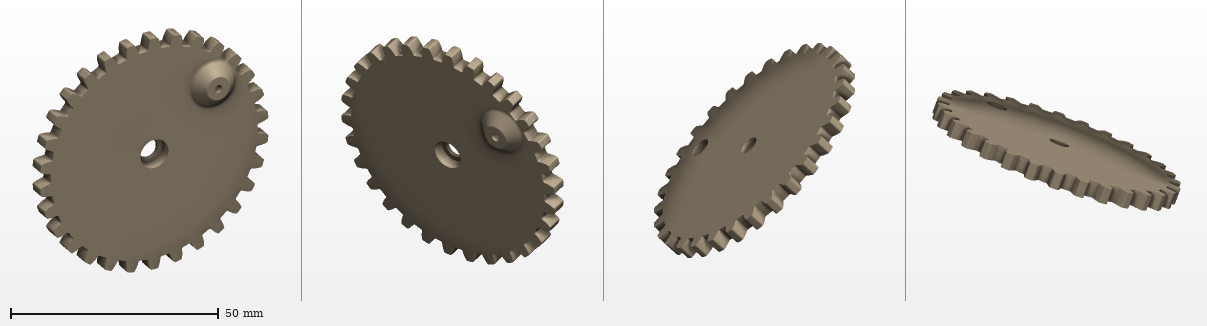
import cadquery as cq
import math

tooth_count = 30
tip_radius = 31.25
root_radius = 28.25
plate_thickness = 4.0
tip_width = 2.0
tooth_middle_width = 3.0
tooth_base_width = 3.3
tooth_corner_round = 0.5
center_bore_diameter = 5.0
center_lip_thickness = 1.0
center_recess_diameter = 7.6

boss_y = 15.95
boss_z = 15.1
boss_height = 3.0
boss_base_radius = 6.1
boss_top_radius = boss_base_radius - boss_height
boss_base_fillet = 1.0
boss_top_round = 0.5
boss_hole_diameter = 2.1
counterbore_diameter = 5.1
counterbore_depth = 1.9


def polar(radius, angle):
    """(Y, Z) point at an angle measured from +Z towards +Y."""
    return (radius * math.sin(angle), radius * math.cos(angle))


def half_angle(width, radius):
    """Half of the angle that a tooth of this width covers at this radius."""
    return math.asin(width / 2 / radius)


def toothed_plate():
    """Teeth with bulging flanks around a round body, one tooth centered on +Z."""
    pitch = 2 * math.pi / tooth_count
    middle_radius = (tip_radius + root_radius) / 2
    tip_angle = half_angle(tip_width, tip_radius)
    middle_angle = half_angle(tooth_middle_width, middle_radius)
    base_angle = half_angle(tooth_base_width, root_radius)

    outline = cq.Workplane("YZ").moveTo(*polar(root_radius, -base_angle))
    for tooth in range(tooth_count):
        center = tooth * pitch
        rising_flank_middle = polar(middle_radius, center - middle_angle)
        falling_flank_middle = polar(middle_radius, center + middle_angle)
        next_base = polar(root_radius, center + pitch - base_angle)
        outline = (
            outline.threePointArc(rising_flank_middle, polar(tip_radius, center - tip_angle))
            .threePointArc(polar(tip_radius, center), polar(tip_radius, center + tip_angle))
            .threePointArc(falling_flank_middle, polar(root_radius, center + base_angle))
            .threePointArc(polar(root_radius, center + pitch / 2), next_base)
        )
    plate = outline.close().extrude(plate_thickness)
    return plate.edges("|X").fillet(tooth_corner_round)


def cylinder_along_x(y, z, diameter, length, start_x=0):
    """Cylinder growing towards +X from start_x."""
    return cq.Workplane("YZ", origin=(start_x, y, z)).circle(diameter / 2).extrude(length)


def boss():
    """45 degree cone, its profile revolved about a line parallel to X."""
    top_x = plate_thickness + boss_height
    return (
        cq.Workplane("XY", origin=(0, boss_y, boss_z))
        .moveTo(0, 0)
        .lineTo(0, boss_base_radius)
        .lineTo(plate_thickness, boss_base_radius)
        .lineTo(top_x, boss_top_radius)
        .lineTo(top_x, 0)
        .close()
        .revolve(360, (0, 0, 0), (1, 0, 0))
    )


result = toothed_plate().union(boss())

boss_base_edge = cq.selectors.NearestToPointSelector((plate_thickness, boss_y, boss_z))
boss_top_edge = cq.selectors.NearestToPointSelector((plate_thickness + boss_height, boss_y, boss_z))
result = result.edges(boss_top_edge).fillet(boss_top_round)
result = result.edges(boss_base_edge).fillet(boss_base_fillet)

recess_depth = plate_thickness - center_lip_thickness
result = result.cut(cylinder_along_x(0, 0, center_bore_diameter, plate_thickness))
result = result.cut(cylinder_along_x(0, 0, center_recess_diameter, recess_depth, center_lip_thickness))

result = result.cut(cylinder_along_x(boss_y, boss_z, boss_hole_diameter, plate_thickness + boss_height))
result = result.cut(cylinder_along_x(boss_y, boss_z, counterbore_diameter, counterbore_depth))